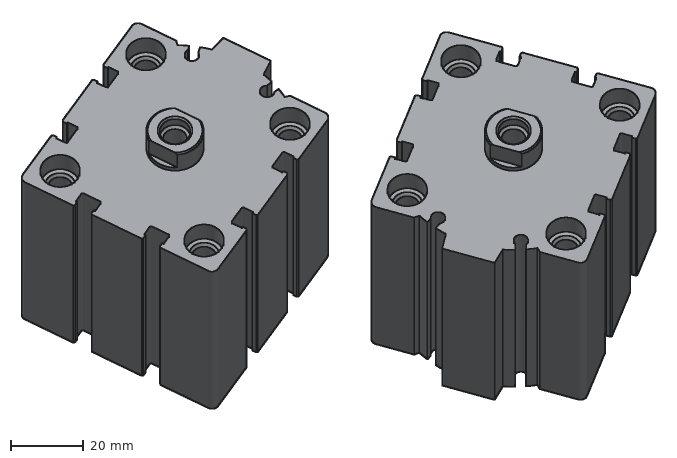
import cadquery as cq
import math

total_height = 73.0
housing_height = 65.0
housing_width = 63.0
half_width = housing_width / 2
corner_radius = 2.0

rail_top_y = half_width + 7.5
rail_half_width_top = 7.7
rail_half_width_root = 8.3
shoulder_radius = 35.0
notch_width = 1.1
shoulder_end_y = half_width - notch_width
shoulder_end_x = math.sqrt(shoulder_radius**2 - shoulder_end_y**2)

round_groove_diameter = 4.0
round_groove_mouth = 3.0
round_groove_x = 12.1
round_groove_y = 29.5
round_groove_tilt = 17.0

slot_spacing = 22.05
slot_mouth = 5.3
slot_mouth_chamfer = 0.4
slot_inner_width = 6.3
slot_lip = 1.6
slot_depth = 5.05
slot_corner_radius = 0.5

mount_offset = 23.2
mount_hole_diameter = 6.8
mount_countersink_diameter = 8.4
mount_counterbore_diameter = 11.0
mount_counterbore_depth = 6.8

rod_diameter = 16.0
rod_bottom_z = 43.8
rod_chamfer = 0.45
flats_width = 13.0
flats_bottom_z = 66.5
rod_hole_diameter = 6.65
rod_counterbore_diameter = 8.55
rod_mouth_diameter = 9.6
rod_counterbore_depth = 3.35
rod_hole_depth = 13.0
drill_point_angle = 118.0


def point_on_circle(radius, x):
    """Point with the given X on the +Y half of a circle around the origin."""
    return (x, math.sqrt(radius**2 - x**2))


def cone_frustum(bottom_diameter, top_diameter, bottom_z, height):
    """Upright solid cone frustum on the Z axis."""
    return cq.Workplane(
        cq.Solid.makeCone(bottom_diameter / 2, top_diameter / 2, height, cq.Vector(0, 0, bottom_z))
    )


def shoulder_profile():
    """Rail and shoulder outline on the +Y side, closed through the block."""
    root = point_on_circle(shoulder_radius, rail_half_width_root)
    middle = point_on_circle(shoulder_radius, (root[0] + shoulder_end_x) / 2)
    return (
        cq.Workplane("XY")
        .moveTo(-shoulder_end_x, shoulder_end_y)
        .threePointArc((-middle[0], middle[1]), (-root[0], root[1]))
        .lineTo(-rail_half_width_top, rail_top_y)
        .lineTo(rail_half_width_top, rail_top_y)
        .lineTo(*root)
        .threePointArc(middle, (shoulder_end_x, shoulder_end_y))
        .close()
        .extrude(housing_height)
    )


def notch_clearance():
    """Block removed between the two 45 degree notches, before the shoulder is added."""
    return (
        cq.Workplane("XY")
        .polyline([
            (-shoulder_end_x, shoulder_end_y),
            (-shoulder_end_x - notch_width, half_width),
            (shoulder_end_x + notch_width, half_width),
            (shoulder_end_x, shoulder_end_y),
        ])
        .close()
        .extrude(housing_height)
    )


def round_groove(side):
    """Keyhole groove with a tilted mouth, on the +X side for side = 1 and the -X side for side = -1."""
    bore = cq.Workplane("XY").circle(round_groove_diameter / 2).extrude(housing_height)
    mouth = (
        cq.Workplane("XY")
        .rect(round_groove_mouth, 2 * round_groove_diameter)
        .extrude(housing_height)
        .translate((0, round_groove_diameter, 0))
        .rotate((0, 0, 0), (0, 0, 1), -side * round_groove_tilt)
    )
    return bore.union(mouth).translate((side * round_groove_x, round_groove_y, 0))


def t_slot(x):
    """T-slot open towards -Y with a chamfered mouth, centred at the given X."""
    chamber_depth = slot_depth - slot_lip
    mouth = (
        cq.Workplane("XY")
        .center(x, -half_width + slot_lip / 2)
        .rect(slot_mouth, slot_lip)
        .extrude(housing_height)
    )
    chamber = (
        cq.Workplane("XY")
        .center(x, -half_width + slot_lip + chamber_depth / 2)
        .rect(slot_inner_width, chamber_depth)
        .extrude(housing_height)
        .edges("|Z and >Y")
        .fillet(slot_corner_radius)
    )
    chamfer_y = -half_width + slot_mouth_chamfer
    flare = (
        cq.Workplane("XY")
        .polyline([
            (x - slot_mouth / 2 - slot_mouth_chamfer, -half_width),
            (x + slot_mouth / 2 + slot_mouth_chamfer, -half_width),
            (x + slot_mouth / 2, chamfer_y),
            (x - slot_mouth / 2, chamfer_y),
        ])
        .close()
        .extrude(housing_height)
    )
    return mouth.union(flare).union(chamber)


def mounting_hole():
    """Through hole with a counterbore from the top and a countersink at its floor."""
    floor_z = housing_height - mount_counterbore_depth
    sink_depth = (mount_countersink_diameter - mount_hole_diameter) / 2
    drill = cq.Workplane("XY").circle(mount_hole_diameter / 2).extrude(housing_height)
    counterbore = (
        cq.Workplane("XY", origin=(0, 0, floor_z))
        .circle(mount_counterbore_diameter / 2)
        .extrude(mount_counterbore_depth)
    )
    countersink = cone_frustum(
        mount_hole_diameter, mount_countersink_diameter, floor_z - sink_depth, sink_depth
    )
    return drill.union(countersink).union(counterbore)


def make_housing():
    """Extruded cylinder housing with its grooves, mounting holes and rod bore."""
    body = (
        cq.Workplane("XY")
        .rect(housing_width, housing_width)
        .extrude(housing_height)
        .edges("|Z")
        .fillet(corner_radius)
        .cut(notch_clearance())
        .union(shoulder_profile())
    )
    for side in (-1, 1):
        body = body.cut(round_groove(side))
    for turn in (-90, 0, 90):
        for x in (-slot_spacing / 2, slot_spacing / 2):
            body = body.cut(t_slot(x).rotate((0, 0, 0), (0, 0, 1), turn))
    for x in (-mount_offset, mount_offset):
        for y in (-mount_offset, mount_offset):
            body = body.cut(mounting_hole().translate((x, y, 0)))
    rod_bore = (
        cq.Workplane("XY", origin=(0, 0, rod_bottom_z))
        .circle(rod_diameter / 2)
        .extrude(housing_height - rod_bottom_z)
    )
    return body.cut(rod_bore)


def rod_hole():
    """Stepped blind hole in the rod end: chamfered mouth, counterbore, drill and drill point."""
    mouth_depth = (rod_mouth_diameter - rod_counterbore_diameter) / 2
    drill_slope = math.tan(math.radians(drill_point_angle / 2))
    step_depth = (rod_counterbore_diameter - rod_hole_diameter) / 2 / drill_slope
    point_height = rod_hole_diameter / 2 / drill_slope
    counterbore_bottom_z = total_height - rod_counterbore_depth
    hole_bottom_z = total_height - rod_hole_depth
    mouth = cone_frustum(
        rod_counterbore_diameter, rod_mouth_diameter, total_height - mouth_depth, mouth_depth
    )
    counterbore = (
        cq.Workplane("XY", origin=(0, 0, counterbore_bottom_z))
        .circle(rod_counterbore_diameter / 2)
        .extrude(rod_counterbore_depth)
    )
    step = cone_frustum(
        rod_hole_diameter, rod_counterbore_diameter, counterbore_bottom_z - step_depth, step_depth
    )
    drill = (
        cq.Workplane("XY", origin=(0, 0, hole_bottom_z))
        .circle(rod_hole_diameter / 2)
        .extrude(rod_hole_depth)
    )
    point = cone_frustum(0, rod_hole_diameter, hole_bottom_z - point_height, point_height)
    return drill.union(point).union(step).union(counterbore).union(mouth)


def make_rod():
    """Piston rod with a chamfered end, two wrench flats and a stepped blind hole."""
    rod = (
        cq.Workplane("XY", origin=(0, 0, rod_bottom_z))
        .circle(rod_diameter / 2)
        .extrude(total_height - rod_bottom_z)
        .faces(">Z")
        .edges()
        .chamfer(rod_chamfer)
    )
    flat_height = total_height - flats_bottom_z
    for side in (-1, 1):
        beyond_flat = (
            cq.Workplane("XY", origin=(0, side * (flats_width + rod_diameter) / 2, flats_bottom_z))
            .rect(rod_diameter, rod_diameter)
            .extrude(flat_height)
        )
        rod = rod.cut(beyond_flat)
    return rod.cut(rod_hole())


housing = make_housing()
rod = make_rod()

result = cq.Compound.makeCompound([housing.val(), rod.val()])